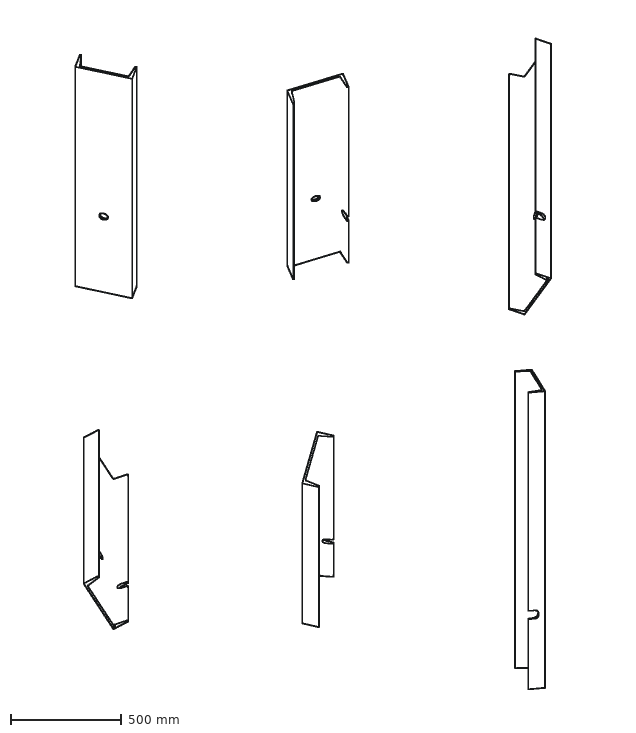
import cadquery as cq

overall_length = 1452.0
width = 269.0
depth = 78.0
web_thickness = 10.0
flange_root_thickness = 19.0
flange_tip_thickness = 7.0
root_radius = 5.0
tip_radius = 5.0

stud_diameter = 7.0
stud_height = 3.0
stud_inset_x = 13.0
stud_inset_y = 12.0

opening_diameter = 40.0
web_hole_height = 502.0
notch_height = 366.0
notch_depth = 50.0

half_width = width / 2
channel_length = overall_length - stud_height
opening_radius = opening_diameter / 2


def make_channel():
    """Extrude the U section along Z and round the inner roots and tips."""
    root_x = half_width - flange_root_thickness
    tip_x = half_width - flange_tip_thickness
    section = [
        (-half_width, 0),
        (half_width, 0),
        (half_width, depth),
        (tip_x, depth),
        (root_x, web_thickness),
        (-root_x, web_thickness),
        (-tip_x, depth),
        (-half_width, depth),
    ]
    channel = cq.Workplane("XY", origin=(0, 0, stud_height)).polyline(section).close().extrude(channel_length)
    for x, y, radius in [(root_x, web_thickness, root_radius), (tip_x, depth, tip_radius)]:
        for side in (-1, 1):
            edge_point = (side * x, y, overall_length / 2)
            channel = channel.edges(cq.selectors.NearestToPointSelector(edge_point)).fillet(radius)
    return channel


def make_stud():
    """Short round stud hanging from the lower end face."""
    stud = cq.Workplane("XY").center(stud_inset_x - half_width, stud_inset_y)
    return stud.circle(stud_diameter / 2).extrude(stud_height)


def make_web_hole():
    """Round cutter on the middle of the web."""
    hole = cq.Workplane("XZ").center(0, web_hole_height).circle(opening_radius)
    return hole.extrude(-depth)


def make_flange_notch():
    """Round-ended cutter, open at the tip of the -X flange."""
    arc_centre_y = depth - notch_depth + opening_radius
    notch = (
        cq.Workplane("YZ", origin=(-half_width, 0, notch_height))
        .moveTo(depth, -opening_radius)
        .lineTo(arc_centre_y, -opening_radius)
        .threePointArc((depth - notch_depth, 0), (arc_centre_y, opening_radius))
        .lineTo(depth, opening_radius)
        .close()
    )
    return notch.extrude(half_width)


result = make_channel().union(make_stud()).cut(make_web_hole()).cut(make_flange_notch())